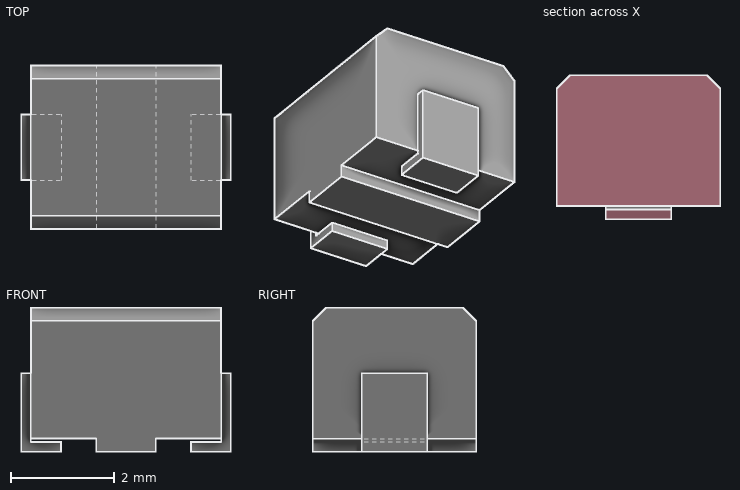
import cadquery as cq

housing_length = 3.68
housing_width = 3.17
housing_bottom = 0.254
housing_top = 2.79
chamfer_size = 0.254

foot_length = 1.16

overall_length = 4.06
terminal_thickness = (overall_length - housing_length) / 2
terminal_width = 1.27
terminal_height = 1.524
terminal_foot_length = 0.775


def make_housing():
    block = (
        cq.Workplane("XY", origin=(0, 0, housing_bottom))
        .box(housing_length, housing_width, housing_top - housing_bottom, centered=(True, True, False))
        .faces(">Z")
        .edges("|X")
        .chamfer(chamfer_size)
    )
    foot = cq.Workplane("XY").box(foot_length, housing_width, housing_bottom, centered=(True, True, False))
    return block.union(foot)


def make_terminal(side):
    """Terminal on the -X end (side = -1) or the +X end (side = 1)."""
    outer_x = side * overall_length / 2
    inner_x = side * housing_length / 2
    foot_tip_x = side * (overall_length / 2 - terminal_foot_length)
    profile = [
        (outer_x, 0),
        (outer_x, terminal_height),
        (inner_x, terminal_height),
        (inner_x, terminal_thickness),
        (foot_tip_x, terminal_thickness),
        (foot_tip_x, 0),
    ]
    return cq.Workplane("XZ").polyline(profile).close().extrude(terminal_width / 2, both=True)


housing = make_housing()
terminals = [make_terminal(side) for side in (-1, 1)]

result = cq.Compound.makeCompound([housing.val(), *[terminal.val() for terminal in terminals]])